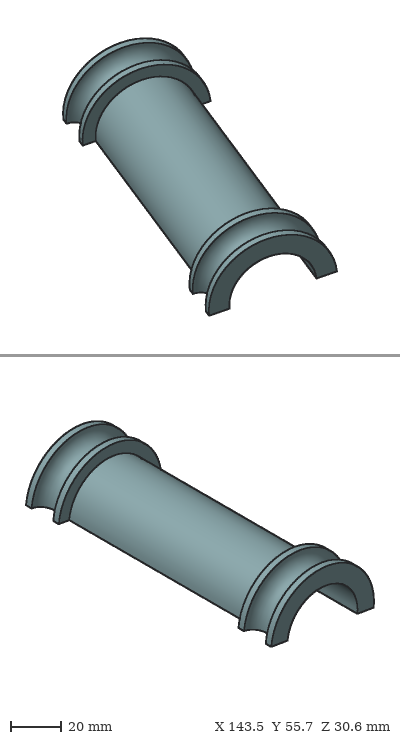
import cadquery as cq

length = 143.5
collar_diameter = 55.8
tube_diameter = 44.5
bore_diameter = 37.9
flange_width = 3.3
groove_radius = 6.3
split_tilt = 5.5

collar_radius = collar_diameter / 2
tube_radius = tube_diameter / 2
bore_radius = bore_diameter / 2
collar_width = 2 * (flange_width + groove_radius)


def half_ring(x_start, width, outer_radius):
    """Half of a hollow cylinder over the bore, lying on the +Z side."""
    return (
        cq.Workplane("XY")
        .moveTo(x_start, bore_radius)
        .lineTo(x_start + width, bore_radius)
        .lineTo(x_start + width, outer_radius)
        .lineTo(x_start, outer_radius)
        .close()
        .revolve(180, (0, 0, 0), (1, 0, 0))
    )


def rope_groove(x_center):
    """Ring of circular section that leaves a semicircular groove in a collar."""
    return (
        cq.Workplane("XY")
        .center(x_center, collar_radius)
        .circle(groove_radius)
        .revolve(360, (0, -collar_radius, 0), (1, -collar_radius, 0))
    )


body = half_ring(-length / 2 + collar_width, length - 2 * collar_width, tube_radius)

for side in (-1, 1):
    x_center = side * (length - collar_width) / 2
    collar = half_ring(x_center - collar_width / 2, collar_width, collar_radius)
    body = body.union(collar.cut(rope_groove(x_center)))

result = body.rotate((0, 0, 0), (1, 0, 0), split_tilt)